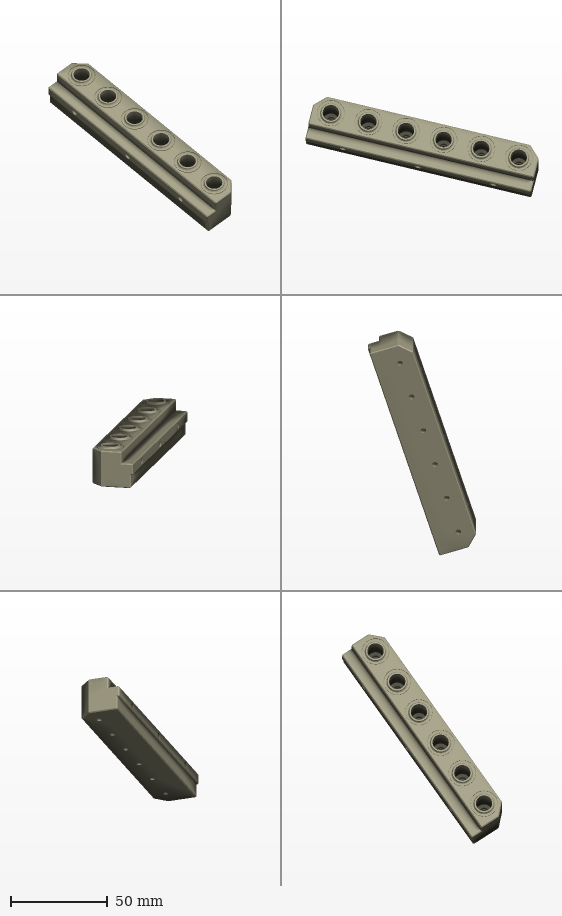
import cadquery as cq

length = 120.0
depth = 22.8
total_height = 20.0
bushing_rise = 1.0
body_top = total_height - bushing_rise
ledge_depth = 6.0
ledge_top = 13.0
lip_depth = 1.0
lip_bottom = 7.1
corner_cut = 6.0
edge_break = 0.5
pick_margin = 0.2

bushing_count = 6
bushing_pitch = length / bushing_count
bushing_setback = 8.4
bushing_top_diameter = 10.0
bushing_base_diameter = 11.3
bushing_rim_diameter = 10.5
bushing_rim_drop = 0.6
bushing_root_depth = 0.5
groove_outer_diameter = 14.3
groove_inner_diameter = 13.5
groove_depth = 0.4

bore_diameter = 8.4
bore_depth = 14.4
outlet_diameter = 2.8
outlet_seat_depth = 1.2
outlet_seat_diameter = 4.1
outlet_mouth_diameter = 4.8

cross_hole_diameter = 3.2
outer_hole_height = 10.0
middle_hole_height = 9.5
cross_holes = [
    (bushing_pitch, outer_hole_height),
    (length / 2, middle_hole_height),
    (length - bushing_pitch, outer_hole_height),
]

bushing_y = depth - bushing_setback
bushing_places = [((i + 0.5) * bushing_pitch, bushing_y) for i in range(bushing_count)]
bore_floor = total_height - bore_depth


def edges_centred_within(y_range, z_range):
    """Select the edges of the bar whose centres lie in the given Y and Z ranges."""
    return cq.selectors.BoxSelector(
        (0, y_range[0], z_range[0]),
        (length, y_range[1], z_range[1]),
    )


def around(value):
    """Narrow range about a value, for picking edges."""
    return (value - pick_margin, value + pick_margin)


def stepped_bar():
    profile = [
        (lip_depth, 0),
        (depth, 0),
        (depth, body_top),
        (ledge_depth, body_top),
        (ledge_depth, ledge_top),
        (0, ledge_top),
        (0, lip_bottom),
        (lip_depth, lip_bottom),
    ]
    bar = cq.Workplane("YZ").polyline(profile).close().extrude(length)
    bar = bar.edges("|Z and >Y").chamfer(corner_cut)

    ledge_corner = edges_centred_within(around(ledge_depth), around(ledge_top))
    lip_corner = edges_centred_within(around(lip_depth), around(lip_bottom))
    cut_uprights = edges_centred_within(
        (depth - corner_cut - pick_margin, depth + pick_margin),
        (pick_margin, body_top - pick_margin),
    )
    all_edges = cq.selectors.StringSyntaxSelector("|X or (not |X)")
    outer_edges = all_edges - ledge_corner - lip_corner - cut_uprights
    return bar.edges(outer_edges).chamfer(edge_break)


def revolved(profile):
    """Turn a (radius, Z) outline about the vertical axis through the origin."""
    return cq.Workplane("XZ").polyline(profile).close().revolve(axisStart=(0, 0), axisEnd=(0, 1))


def at_bushings(shape):
    """Copy a shape to the axis of every bushing."""
    copies = cq.Workplane("XY")
    for x, y in bushing_places:
        copies = copies.add(shape.translate((x, y, 0)))
    return copies.combine()


def bushing():
    return revolved([
        (0, body_top - bushing_root_depth),
        (bushing_base_diameter / 2, body_top - bushing_root_depth),
        (bushing_base_diameter / 2, body_top),
        (bushing_rim_diameter / 2, total_height - bushing_rim_drop),
        (bushing_top_diameter / 2, total_height),
        (0, total_height),
    ])


def groove():
    return (
        cq.Workplane("XY", origin=(0, 0, body_top))
        .circle(groove_outer_diameter / 2)
        .circle(groove_inner_diameter / 2)
        .extrude(-groove_depth)
    )


def bore():
    chamfer_depth = (outlet_mouth_diameter - outlet_seat_diameter) / 2
    seat_height = bore_floor - outlet_seat_depth
    return revolved([
        (0, 0),
        (outlet_diameter / 2, 0),
        (outlet_diameter / 2, seat_height),
        (outlet_seat_diameter / 2, seat_height),
        (outlet_seat_diameter / 2, bore_floor - chamfer_depth),
        (outlet_mouth_diameter / 2, bore_floor),
        (bore_diameter / 2, bore_floor),
        (bore_diameter / 2, total_height),
        (0, total_height),
    ])


def cross_drilling():
    return (
        cq.Workplane("XZ")
        .pushPoints(cross_holes)
        .circle(cross_hole_diameter / 2)
        .extrude(-depth)
    )


result = (
    stepped_bar()
    .union(at_bushings(bushing()))
    .cut(at_bushings(groove()))
    .cut(at_bushings(bore()))
    .cut(cross_drilling())
)